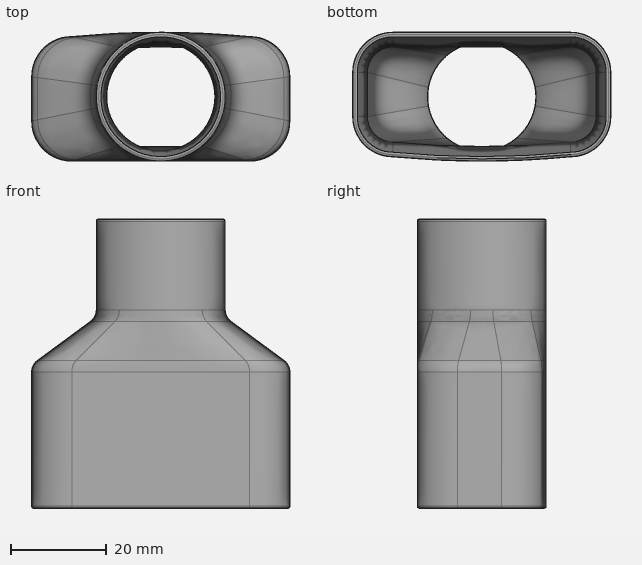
import cadquery as cq
import math

height = 60.5
body_length = 54.0
body_depth = 27.0
body_height = 30.0
neck_radius = body_depth / 2
neck_start = 40.0

corner_radius = 8.4
crown_rise = 0.9

blend_radius = 3.0
blend_steps = 4
rim_radius = 0.5

mouth_wall = 0.95
shoulder_wall = 3.1
throat_radius = 11.3

side_angle = 10
corner_angle = 50

straight_tolerance = 3.66e-07


def body_points(wall):
    """Ends and midpoints of the eight outline edges, counter-clockwise from the front left."""
    end = body_length / 2 - wall
    front = -body_depth / 2 + wall
    crown = body_depth / 2 - wall
    back = crown - crown_rise
    radius = corner_radius - wall
    straight = end - radius
    bulge = radius * (1 - math.sqrt(0.5))
    side_front = front + radius
    side_back = back - radius
    side_middle = (side_front + side_back) / 2
    return [
        (-straight, front), (0, front),
        (straight, front), (end - bulge, front + bulge),
        (end, side_front), (end, side_middle),
        (end, side_back), (end - bulge, back - bulge),
        (straight, back), (0, crown),
        (-straight, back), (-end + bulge, back - bulge),
        (-end, side_back), (-end, side_middle),
        (-end, side_front), (-end + bulge, front + bulge),
    ]


def round_points(radius):
    """Points on a circle that pair with the body points in order."""
    edge_ends = [
        -180 + corner_angle, -corner_angle, -side_angle, side_angle,
        corner_angle, 180 - corner_angle, 180 - side_angle, 180 + side_angle,
        180 + corner_angle,
    ]
    angles = []
    for start, stop in zip(edge_ends, edge_ends[1:]):
        angles += [start, (start + stop) / 2]
    return [(radius * math.cos(math.radians(a)), radius * math.sin(math.radians(a))) for a in angles]


def between(first, second, share):
    """Points lying part of the way from one point list to the other."""
    return [
        (x1 + (x2 - x1) * share, y1 + (y2 - y1) * share)
        for (x1, y1), (x2, y2) in zip(first, second)
    ]


def is_straight(start, middle, stop):
    """Whether the middle point lies on the line from start to stop."""
    cross = (middle[0] - start[0]) * (stop[1] - start[1]) - (middle[1] - start[1]) * (stop[0] - start[0])
    return abs(cross) < straight_tolerance


def section(points, z):
    """Closed outline at height z, each edge running start, middle, end."""
    edges = []
    for i in range(0, len(points), 2):
        start, middle, stop = points[i], points[i + 1], points[(i + 2) % len(points)]
        ends = cq.Vector(*start, z), cq.Vector(*stop, z)
        if is_straight(start, middle, stop):
            edges.append(cq.Edge.makeLine(*ends))
        else:
            edges.append(cq.Edge.makeThreePointArc(ends[0], cq.Vector(*middle, z), ends[1]))
    return cq.Wire.assembleEdges(edges)


def loft(sections, ruled=True):
    """Solid through the sections, straight-sided when ruled and smooth otherwise."""
    return cq.Workplane(cq.Solid.makeLoft(sections, ruled))


def extrude(points, start, stop):
    """Upright prism between two heights."""
    return cq.Workplane(cq.Solid.extrudeLinear(section(points, start), [], cq.Vector(0, 0, stop - start)))


def make_outer():
    """Body, sloped shoulder with rounded blends at both ends, and round neck."""
    body = body_points(0)
    neck = round_points(neck_radius)
    inset = body_length / 2 - neck_radius
    slope = math.atan2(inset, neck_start - body_height)
    tangent = blend_radius * math.tan(slope / 2)
    blend_start = body_height - tangent
    blend_end = neck_start + tangent

    lower = []
    upper = []
    for step in range(blend_steps + 1):
        angle = slope * step / blend_steps
        share = blend_radius * (1 - math.cos(angle)) / inset
        rise = blend_radius * math.sin(angle)
        lower.append(section(between(body, neck, share), blend_start + rise))
        upper.insert(0, section(between(neck, body, share), blend_end - rise))

    solid = extrude(body, 0, blend_start)
    solid = solid.union(loft(lower, ruled=False))
    solid = solid.union(loft([lower[-1], upper[0]]))
    solid = solid.union(loft(upper, ruled=False))
    return solid.union(extrude(neck, blend_end, height))


def make_inner():
    """Tapered socket, sloped transition and tapered bore."""
    mouth = section(body_points(mouth_wall), 0)
    shoulder = section(body_points(shoulder_wall), body_height)
    throat = section(round_points(throat_radius), neck_start)
    bore = cq.Workplane(cq.Solid.makeCone(
        throat_radius, neck_radius - mouth_wall, height - neck_start, cq.Vector(0, 0, neck_start)
    ))
    return loft([mouth, shoulder]).union(loft([shoulder, throat])).union(bore)


outer = make_outer().faces("<Z or >Z").edges().fillet(rim_radius)
result = outer.cut(make_inner())